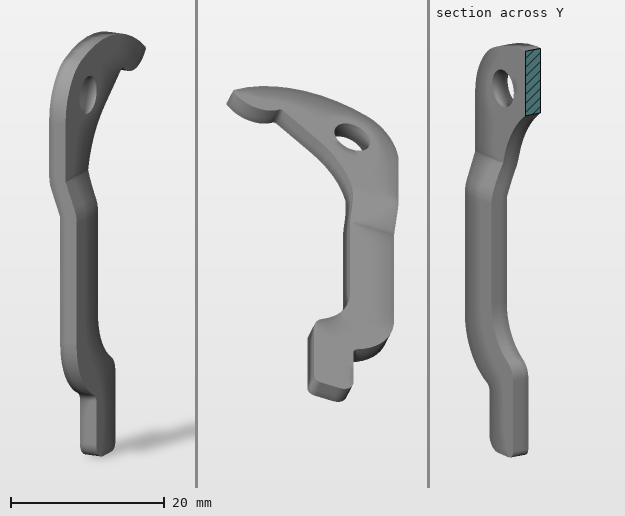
import cadquery as cq
import math


THICKNESS = 2.4
OFFSET = 1.6
BEND_TOP_Z = -10.58
BEND_BOTTOM_Z = -15.0
BEND_RADIUS = 5.0

PIVOT_DIAMETER = 5.0
FRONT_Y = -6.5
NOSE_RADIUS = 8.3
NOSE_CENTER = (FRONT_Y + NOSE_RADIUS, -2.1)
CROWN_RADIUS = 18.5
CROWN_CENTER = (4.85, -12.06)
CROWN_BLEND_RADIUS = 6.0
HOOK_RADIUS = 4.35
HOOK_CENTER = (13.1, 4.35)
HOOK_TIP_RADIUS = 0.3
NOTCH = (9.98, 1.3)
NOTCH_RADIUS = 0.5

SHANK_WIDTH = 6.2
BACK_Y = FRONT_Y + SHANK_WIDTH
THROAT_RADIUS = 13.0
THROAT_CENTER = (BACK_Y + THROAT_RADIUS, -13.0)
ELBOW_OUTER_RADIUS = 8.85
ELBOW_OUTER_CENTER = (FRONT_Y + ELBOW_OUTER_RADIUS, -32.1)
ELBOW_INNER_RADIUS = 7.9
ELBOW_INNER_CENTER = (BACK_Y + ELBOW_INNER_RADIUS, -29.4)

FOOT_BOTTOM_Z = -49.0
FOOT_FRONT_Y = -0.8
FOOT_WIDTH = 5.5
FOOT_BACK_Y = FOOT_FRONT_Y + FOOT_WIDTH
SHOULDER_RADIUS = 2.5
ANKLE_RADIUS = 1.0
FOOT_BACK_CORNER_RADIUS = 1.0
FOOT_FRONT_CORNER_RADIUS = 2.0

EXTRA = 10.0


def point_on_circle(center, radius, angle):
    return (center[0] + radius * math.cos(angle), center[1] + radius * math.sin(angle))


def angle_to(center, point):
    return math.atan2(point[1] - center[1], point[0] - center[0])


def arc_middle(center, radius, start, end):
    """Point halfway along the shorter arc from start to end."""
    first = angle_to(center, start)
    sweep = math.remainder(angle_to(center, end) - first, 2 * math.pi)
    return point_on_circle(center, radius, first + sweep / 2)


def circle_meeting(center_a, radius_a, center_b, radius_b, side):
    """Crossing of two circles, on the left (side = 1) or right (side = -1) of the line from a to b."""
    distance = math.dist(center_a, center_b)
    cosine = (radius_a ** 2 + distance ** 2 - radius_b ** 2) / (2 * radius_a * distance)
    return point_on_circle(center_a, radius_a, angle_to(center_a, center_b) + side * math.acos(cosine))


def circle_at_y(center, radius, y, side):
    """Point of a circle at a given Y, above (side = 1) or below (side = -1) its center."""
    return (y, center[1] + side * math.sqrt(radius ** 2 - (y - center[0]) ** 2))


def tangent_point(point, center, radius, side):
    """Where the line from an outside point touches a circle, on the chosen side."""
    half_angle = math.acos(radius / math.dist(point, center))
    return point_on_circle(center, radius, angle_to(center, point) + side * half_angle)


NOSE_START = (FRONT_Y, NOSE_CENTER[1])
NOSE_CROWN = circle_meeting(NOSE_CENTER, NOSE_RADIUS, CROWN_CENTER, CROWN_RADIUS, -1)
HOOK_TIP = circle_meeting(CROWN_CENTER, CROWN_RADIUS, HOOK_CENTER, HOOK_RADIUS, -1)
THROAT_START = tangent_point(NOTCH, THROAT_CENTER, THROAT_RADIUS, 1)
THROAT_END = (BACK_Y, THROAT_CENTER[1])
ELBOW_INNER_START = (BACK_Y, ELBOW_INNER_CENTER[1])
SHOULDER = circle_at_y(ELBOW_INNER_CENTER, ELBOW_INNER_RADIUS, FOOT_BACK_Y, -1)
ANKLE = circle_at_y(ELBOW_OUTER_CENTER, ELBOW_OUTER_RADIUS, FOOT_FRONT_Y, -1)
ELBOW_OUTER_END = (FRONT_Y, ELBOW_OUTER_CENTER[1])
FOOT_BACK_CORNER = (FOOT_BACK_Y, FOOT_BOTTOM_Z)
FOOT_FRONT_CORNER = (FOOT_FRONT_Y, FOOT_BOTTOM_Z)


def add_arc(path, center, radius, start, end):
    return path.threePointArc(arc_middle(center, radius, start, end), end)


def make_outline():
    """Lever silhouette, thick enough to contain the whole bent strip."""
    path = cq.Workplane("YZ").moveTo(*NOSE_START)
    path = add_arc(path, NOSE_CENTER, NOSE_RADIUS, NOSE_START, NOSE_CROWN)
    path = add_arc(path, CROWN_CENTER, CROWN_RADIUS, NOSE_CROWN, HOOK_TIP)
    path = add_arc(path, HOOK_CENTER, HOOK_RADIUS, HOOK_TIP, NOTCH)
    path = path.lineTo(*THROAT_START)
    path = add_arc(path, THROAT_CENTER, THROAT_RADIUS, THROAT_START, THROAT_END)
    path = path.lineTo(*ELBOW_INNER_START)
    path = add_arc(path, ELBOW_INNER_CENTER, ELBOW_INNER_RADIUS, ELBOW_INNER_START, SHOULDER)
    path = path.lineTo(*FOOT_BACK_CORNER).lineTo(*FOOT_FRONT_CORNER).lineTo(*ANKLE)
    path = add_arc(path, ELBOW_OUTER_CENTER, ELBOW_OUTER_RADIUS, ANKLE, ELBOW_OUTER_END)
    blank = path.close().extrude(THICKNESS + OFFSET)

    corner_radii = [
        (NOSE_CROWN, CROWN_BLEND_RADIUS),
        (HOOK_TIP, HOOK_TIP_RADIUS),
        (NOTCH, NOTCH_RADIUS),
        (SHOULDER, SHOULDER_RADIUS),
        (FOOT_BACK_CORNER, FOOT_BACK_CORNER_RADIUS),
        (FOOT_FRONT_CORNER, FOOT_FRONT_CORNER_RADIUS),
        (ANKLE, ANKLE_RADIUS),
    ]
    for (y, z), radius in corner_radii:
        corner_edge = cq.selectors.NearestToPointSelector(((THICKNESS + OFFSET) / 2, y, z))
        blank = blank.edges("|X").edges(corner_edge).fillet(radius)
    return blank


def make_bent_strip():
    """Wide strip of constant thickness carrying the offset bend."""
    bend_angle = math.atan2(OFFSET, BEND_TOP_Z - BEND_BOTTOM_Z)
    corner_rise = THICKNESS * math.tan(bend_angle / 2)
    top_z = CROWN_CENTER[1] + CROWN_RADIUS + EXTRA
    bottom_z = FOOT_BOTTOM_Z - EXTRA
    front_y = FRONT_Y - EXTRA
    back_y = HOOK_CENTER[0] + HOOK_RADIUS + EXTRA

    section = [
        (0, top_z),
        (0, BEND_TOP_Z),
        (OFFSET, BEND_BOTTOM_Z),
        (OFFSET, bottom_z),
        (OFFSET + THICKNESS, bottom_z),
        (OFFSET + THICKNESS, BEND_BOTTOM_Z + corner_rise),
        (THICKNESS, BEND_TOP_Z + corner_rise),
        (THICKNESS, top_z),
    ]
    strip = cq.Workplane("XZ", origin=(0, front_y, 0)).polyline(section).close().extrude(front_y - back_y)

    middle_y = (front_y + back_y) / 2
    convex_corners = [
        (0, middle_y, BEND_TOP_Z),
        (OFFSET + THICKNESS, middle_y, BEND_BOTTOM_Z + corner_rise),
    ]
    for corner in convex_corners:
        corner_edge = cq.selectors.NearestToPointSelector(corner)
        strip = strip.edges("|Y").edges(corner_edge).fillet(BEND_RADIUS)
    return strip


def make_pivot_hole():
    return cq.Workplane("YZ").circle(PIVOT_DIAMETER / 2).extrude(THICKNESS + OFFSET)


result = make_outline().intersect(make_bent_strip()).cut(make_pivot_hole())